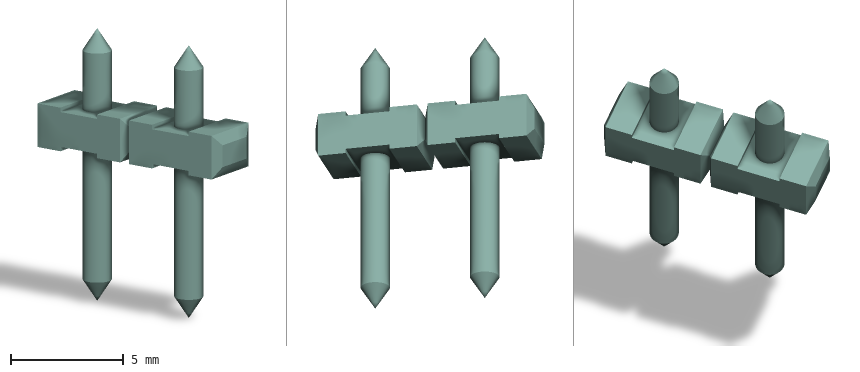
import cadquery as cq


pole_count = 2
pitch = 5.0
block_width = 2.8
block_height = 2.0
end_taper_length = 0.25
end_taper_inset = 0.5
straight_length = pitch - 2 * end_taper_length

groove_length = 2.0
groove_depth = 0.2

pin_diameter = 1.3
pin_above_housing = 3.5
pin_below_housing = 7.0
tip_length = 1.0


def end_taper(face_x, direction):
    """Tapered end of a block, narrowing from face_x along +X or -X."""
    plane = cq.Plane(
        origin=(face_x, 0, block_height / 2),
        xDir=(0, 1, 0),
        normal=(direction, 0, 0),
    )
    return (
        cq.Workplane(plane)
        .rect(block_width, block_height)
        .workplane(offset=end_taper_length)
        .rect(block_width - 2 * end_taper_inset, block_height - 2 * end_taper_inset)
        .loft(ruled=True, combine=True)
    )


def housing_block(center_x):
    """One block with tapered ends, grooved across its top and underside."""
    block = (
        cq.Workplane("XY")
        .center(center_x, 0)
        .box(straight_length, block_width, block_height, centered=(True, True, False))
    )
    for direction in (-1, 1):
        block = block.union(end_taper(center_x + direction * straight_length / 2, direction))
    for groove_bottom in (0, block_height - groove_depth):
        groove = (
            cq.Workplane("XY", origin=(center_x, 0, groove_bottom))
            .box(groove_length, block_width, groove_depth, centered=(True, True, False))
        )
        block = block.cut(groove)
    return block


def pin(center_x):
    """Round pin with a conical point at each end, revolved about its axis."""
    radius = pin_diameter / 2
    bottom = -pin_below_housing
    top = block_height + pin_above_housing
    half_profile = [
        (0, bottom),
        (radius, bottom + tip_length),
        (radius, top - tip_length),
        (0, top),
    ]
    return (
        cq.Workplane("XZ", origin=(center_x, 0, 0))
        .polyline(half_profile)
        .close()
        .revolve(360, (0, 0, 0), (0, 1, 0))
    )


first_pole_x = -(pole_count - 1) * pitch / 2
pole_positions = [first_pole_x + index * pitch for index in range(pole_count)]

result = cq.Workplane("XY")
for pole_x in pole_positions:
    result = result.union(housing_block(pole_x)).union(pin(pole_x))